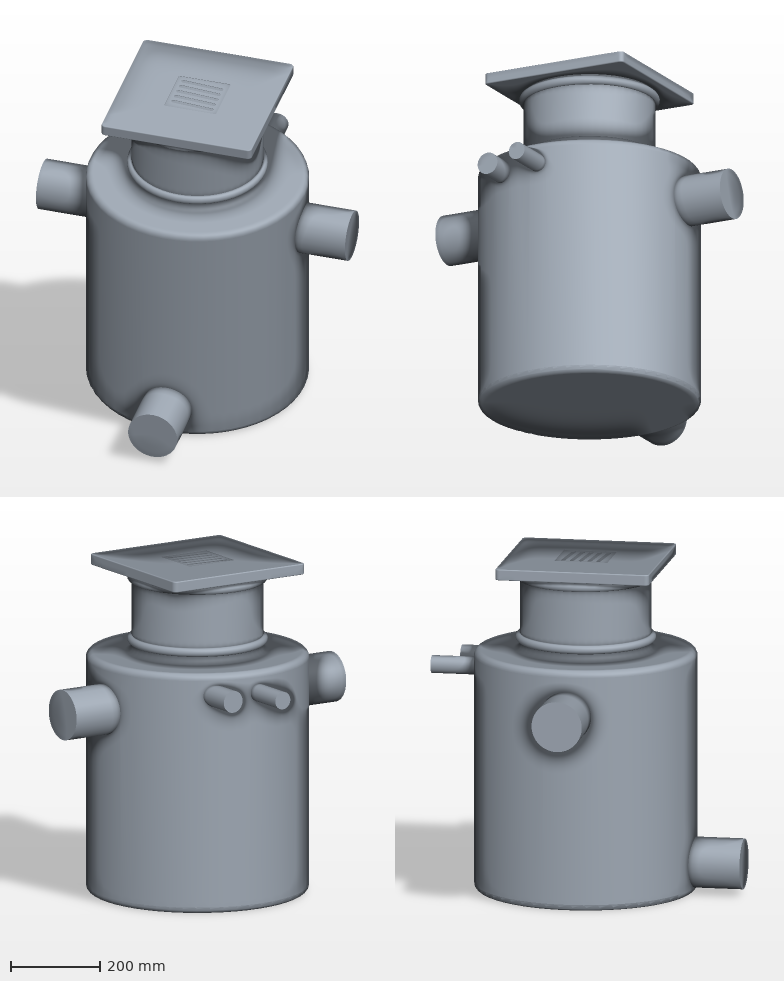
import cadquery as cq

TOTAL_HEIGHT = 760.0

TANK_DIAMETER = 500.0
TANK_HEIGHT = 550.0
TANK_EDGE_RADIUS = 15.0

NECK_DIAMETER = 295.0
NECK_TOP_Z = 730.0
NECK_FOOT_RADIUS = 15.0
BEAD_RADIUS = 10.0
LOWER_BEAD_Z = 577.5
UPPER_BEAD_Z = NECK_TOP_Z - BEAD_RADIUS

MAIN_PIPE_DIAMETER = 114.3
MAIN_PIPE_REACH = 360.0
INLET_Z = 445.0
OUTLET_Z = 70.0

SMALL_PIPE_Z = 500.0
THIN_PIPE_DIAMETER = 40.0
THIN_PIPE_REACH = 350.0
THIN_PIPE_X = 0.0
WIDE_PIPE_DIAMETER = 50.0
WIDE_PIPE_REACH = 300.0
WIDE_PIPE_X = 100.0

LID_WIDTH = 350.0
LID_THICKNESS = 25.0
LID_CORNER_RADIUS = 10.0
LID_EDGE_RADIUS = 2.5
LID_BOTTOM_Z = TOTAL_HEIGHT - LID_THICKNESS
COLLAR_DIAMETER = 289.0

PANEL_WIDTH = 120.0
PANEL_DEPTH = 1.0
SLOT_COUNT = 5
SLOT_LENGTH = 100.0
SLOT_WIDTH = 10.0
SLOT_PITCH = 20.0
SLOT_GROUP_Y = -0.6
SLOT_TILT = -5.0
SLOT_DEPTH = 1.0


def make_shell():
    """Upright cylinder with rounded top and bottom rims."""
    shell = cq.Workplane("XY").circle(TANK_DIAMETER / 2).extrude(TANK_HEIGHT)
    return shell.edges("%CIRCLE").fillet(TANK_EDGE_RADIUS)


def make_neck():
    """Revolved neck: concave flare at the foot and a half-round bead at each end."""
    radius = NECK_DIAMETER / 2
    foot_top_z = TANK_HEIGHT + NECK_FOOT_RADIUS
    profile = (
        cq.Workplane("XZ")
        .moveTo(0, TANK_HEIGHT)
        .lineTo(radius + NECK_FOOT_RADIUS, TANK_HEIGHT)
        .radiusArc((radius, foot_top_z), NECK_FOOT_RADIUS)
        .lineTo(radius, LOWER_BEAD_Z - BEAD_RADIUS)
        .threePointArc((radius + BEAD_RADIUS, LOWER_BEAD_Z), (radius, LOWER_BEAD_Z + BEAD_RADIUS))
        .lineTo(radius, UPPER_BEAD_Z - BEAD_RADIUS)
        .threePointArc((radius + BEAD_RADIUS, UPPER_BEAD_Z), (radius, NECK_TOP_Z))
        .lineTo(0, NECK_TOP_Z)
        .close()
    )
    return profile.revolve(360, (0, 0), (0, 1))


def make_pipe(diameter, reach, direction, x, z):
    """Horizontal pipe from the tank's mid plane outward along direction."""
    base = cq.Vector(x, 0, z)
    return cq.Workplane(cq.Solid.makeCylinder(diameter / 2, reach, base, cq.Vector(*direction)))


def make_tank():
    """Shell, neck and all pipes as one body."""
    pipes = [
        make_pipe(MAIN_PIPE_DIAMETER, MAIN_PIPE_REACH, (-1, 0, 0), 0, INLET_Z),
        make_pipe(MAIN_PIPE_DIAMETER, MAIN_PIPE_REACH, (1, 0, 0), 0, INLET_Z),
        make_pipe(MAIN_PIPE_DIAMETER, MAIN_PIPE_REACH, (0, -1, 0), 0, OUTLET_Z),
        make_pipe(THIN_PIPE_DIAMETER, THIN_PIPE_REACH, (0, 1, 0), THIN_PIPE_X, SMALL_PIPE_Z),
        make_pipe(WIDE_PIPE_DIAMETER, WIDE_PIPE_REACH, (0, 1, 0), WIDE_PIPE_X, SMALL_PIPE_Z),
    ]
    tank = make_shell().union(make_neck())
    for pipe in pipes:
        tank = tank.union(pipe)
    return tank


def make_grille_cut():
    """Material removed from the lid top: the panel recess and the slots in its floor."""
    panel_floor_z = TOTAL_HEIGHT - PANEL_DEPTH
    panel = (
        cq.Workplane("XY")
        .workplane(offset=panel_floor_z)
        .rect(PANEL_WIDTH, PANEL_WIDTH)
        .extrude(PANEL_DEPTH)
    )
    first_slot_y = SLOT_GROUP_Y - (SLOT_COUNT - 1) / 2 * SLOT_PITCH
    slot_centers = [(0, first_slot_y + row * SLOT_PITCH) for row in range(SLOT_COUNT)]
    slots = (
        cq.Workplane("XY")
        .workplane(offset=panel_floor_z)
        .pushPoints(slot_centers)
        .slot2D(SLOT_LENGTH, SLOT_WIDTH, SLOT_TILT)
        .extrude(-SLOT_DEPTH)
    )
    return panel.union(slots)


def make_lid():
    """Square plate with rounded corners and edges, on a collar that stands on the neck top."""
    plate = (
        cq.Workplane("XY")
        .workplane(offset=LID_BOTTOM_Z)
        .rect(LID_WIDTH, LID_WIDTH)
        .extrude(LID_THICKNESS)
        .edges("|Z")
        .fillet(LID_CORNER_RADIUS)
        .faces("<Z or >Z")
        .edges()
        .fillet(LID_EDGE_RADIUS)
    )
    collar = (
        cq.Workplane("XY")
        .workplane(offset=NECK_TOP_Z)
        .circle(COLLAR_DIAMETER / 2)
        .extrude(LID_BOTTOM_Z - NECK_TOP_Z)
    )
    return plate.union(collar).cut(make_grille_cut())


tank = make_tank()
lid = make_lid()

result = cq.Compound.makeCompound([tank.val(), lid.val()])